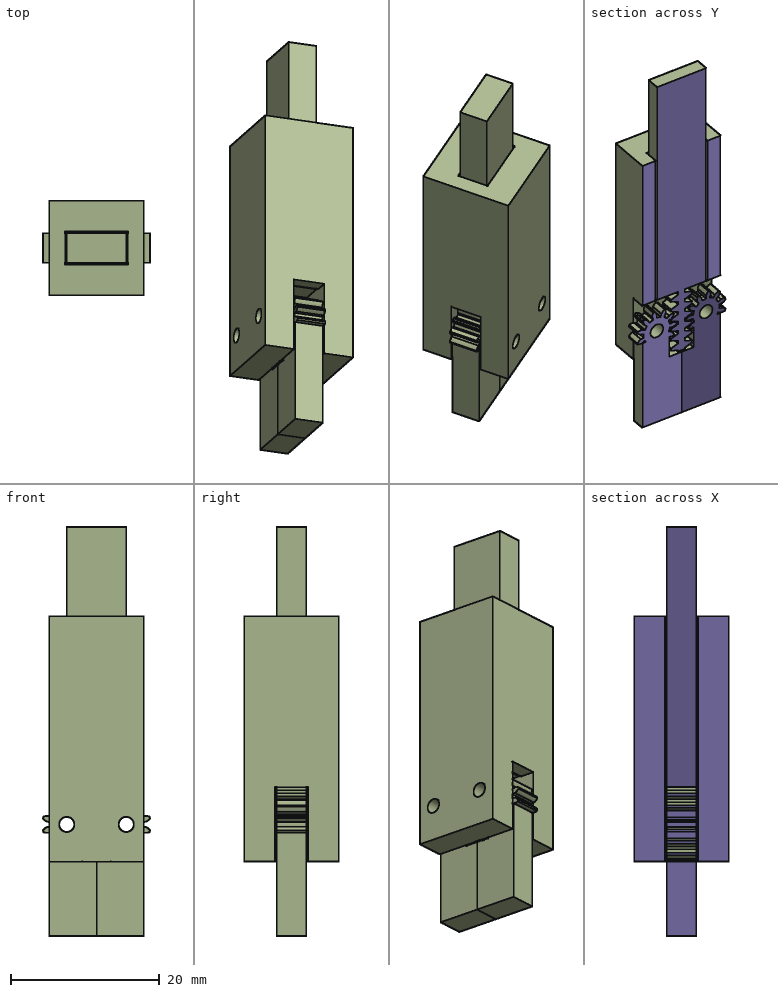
import cadquery as cq
import math

finger_reach = 10.0
housing_height = 33.0
rod_reach = 12.0
housing_top = finger_reach + housing_height
rod_top = housing_top + rod_reach

envelope_diameter = 18.0
housing_width = envelope_diameter / math.sqrt(2)

rod_width = 8.0
rod_thickness = 4.0
clearance = 0.2
slot_height = 10.0
slot_thickness = rod_thickness + 2 * clearance
slot_top = finger_reach + slot_height

pivot_offset = 4.0
pivot_height = finger_reach + slot_height / 2
pivot_diameter = 2.0

tooth_count = 11
gear_tip_radius = 3.3
module = gear_tip_radius / (tooth_count / 2 + 1)
pressure_angle = math.radians(20)
addendum = module
root_clearance = 0.25 * module
dedendum = addendum + root_clearance
pitch_radius = module * tooth_count / 2
base_radius = pitch_radius * math.cos(pressure_angle)
gear_root_radius = pitch_radius - dedendum
tooth_step = 2 * math.pi / tooth_count
backlash = 0.05
flank_points = 5

rack_pitch = math.pi * module
pitch_tooth_width = (rack_pitch - backlash) / 2
rack_pitch_line = pivot_offset - pitch_radius
rack_tip = rack_pitch_line + addendum
rack_root = rack_pitch_line - dedendum
rack_tooth_count = 6
rack_bottom = pivot_height - rack_tooth_count * rack_pitch / 2
rack_top = slot_top

arm_inner = rack_tip + clearance
arm_height = 3.9
arm_top = finger_reach + arm_height


def box(x_min, x_max, thickness, z_min, z_max):
    """Block centred on Y = 0."""
    return (
        cq.Workplane("XY")
        .box(x_max - x_min, thickness, z_max - z_min, centered=(False, True, False))
        .translate((x_min, 0, z_min))
    )


def centred_box(width, thickness, z_min, z_max):
    return box(-width / 2, width / 2, thickness, z_min, z_max)


def pivot_bore(x, length):
    """Cylinder along Y at a finger pivot."""
    return (
        cq.Workplane("XZ")
        .center(x, pivot_height)
        .circle(pivot_diameter / 2)
        .extrude(length / 2, both=True)
    )


def extrude_rod_thickness(outline):
    """Extrude an XZ outline to the rod's thickness, centred on Y = 0."""
    return outline.extrude(rod_thickness).translate((0, rod_thickness / 2, 0))


def make_housing():
    body = centred_box(housing_width, housing_width, finger_reach, housing_top)
    body = body.cut(centred_box(housing_width, slot_thickness, finger_reach, slot_top))
    rod_hole_width = rod_width + 2 * clearance
    body = body.cut(centred_box(rod_hole_width, slot_thickness, slot_top, housing_top))
    for side in (-1, 1):
        body = body.cut(pivot_bore(side * pivot_offset, housing_width))
    return body


def involute(angle):
    return math.tan(angle) - angle


def tooth_half_angle(radius):
    """Half the angle that a gear tooth spans at the given radius."""
    flank_angle = math.acos(base_radius / radius)
    pitch_half_angle = pitch_tooth_width / (2 * pitch_radius)
    return pitch_half_angle + involute(pressure_angle) - involute(flank_angle)


def polar(radius, angle):
    return (radius * math.cos(angle), radius * math.sin(angle))


def make_gear():
    """Gear round the Y axis with a tooth space pointing along X."""
    radii = [
        base_radius + (gear_tip_radius - base_radius) * i / (flank_points - 1)
        for i in range(flank_points)
    ]
    base_half = tooth_half_angle(base_radius)
    first_root = tooth_step / 2 - base_half
    outline = cq.Workplane("XZ").moveTo(*polar(gear_root_radius, first_root))
    for i in range(tooth_count):
        middle = (i + 0.5) * tooth_step
        rising = [polar(r, middle - tooth_half_angle(r)) for r in radii]
        falling = [polar(r, middle + tooth_half_angle(r)) for r in reversed(radii)]
        outline = outline.lineTo(*rising[0]).spline(rising[1:], includeCurrent=True)
        outline = outline.threePointArc(polar(gear_tip_radius, middle), falling[0])
        outline = outline.spline(falling[1:], includeCurrent=True)
        outline = outline.lineTo(*polar(gear_root_radius, middle + base_half))
        outline = outline.threePointArc(
            polar(gear_root_radius, middle + tooth_step / 2),
            polar(gear_root_radius, middle + tooth_step - base_half),
        )
    return extrude_rod_thickness(outline.close())


def make_finger():
    """Finger on the +X side: jaw, arm and gear."""
    outer = housing_width / 2
    jaw = box(0, outer, rod_thickness, 0, finger_reach)
    arm = box(arm_inner, outer, rod_thickness, finger_reach, arm_top)
    gear = make_gear().translate((pivot_offset, 0, pivot_height))
    return jaw.union(arm).union(gear).cut(pivot_bore(pivot_offset, rod_thickness))


def rack_tooth(z):
    """Pair of teeth at height z standing out from both sides of the rod's core."""
    slope = math.tan(pressure_angle)
    pitch_half = pitch_tooth_width / 2
    tip_half = pitch_half - addendum * slope
    root_half = pitch_half + dedendum * slope
    outline = (
        cq.Workplane("XZ")
        .polyline([
            (rack_root, z - root_half),
            (rack_tip, z - tip_half),
            (rack_tip, z + tip_half),
            (rack_root, z + root_half),
            (-rack_root, z + root_half),
            (-rack_tip, z + tip_half),
            (-rack_tip, z - tip_half),
            (-rack_root, z - root_half),
        ])
        .close()
    )
    return extrude_rod_thickness(outline)


def make_rod():
    rod = centred_box(rod_width, rod_thickness, rack_top, rod_top)
    rod = rod.union(centred_box(2 * rack_root, rod_thickness, rack_bottom, rack_top))
    for i in range(rack_tooth_count):
        rod = rod.union(rack_tooth(rack_bottom + (i + 0.5) * rack_pitch))
    return rod


housing = make_housing()
rod = make_rod()
right_finger = make_finger()
left_finger = right_finger.mirror("YZ")

result = cq.Compound.makeCompound(
    [housing.val(), rod.val(), right_finger.val(), left_finger.val()]
)